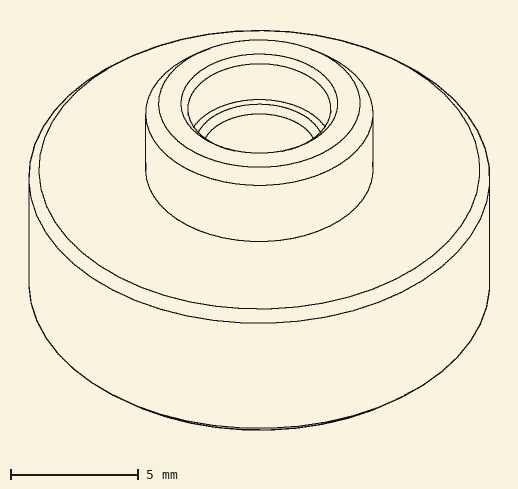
import cadquery as cq


disc_diameter = 18.03
disc_height = 6.2
disc_top_chamfer = 0.4
disc_bottom_chamfer = 0.5

boss_diameter = 8.89
total_height = 9.54
boss_height = total_height - disc_height
boss_chamfer = 0.5

upper_bore_diameter = 5.59
upper_bore_depth = 2.07
middle_bore_diameter = 4.47
through_hole_diameter = 3.85
bore_chamfer = 0.27
lip_thickness = upper_bore_depth


def make_disc():
    """Disc with chamfered top and bottom rims."""
    disc = cq.Workplane("XY").circle(disc_diameter / 2).extrude(disc_height)
    disc = disc.faces(">Z").edges().chamfer(disc_top_chamfer)
    return disc.faces("<Z").edges().chamfer(disc_bottom_chamfer)


def make_boss():
    """Boss with a chamfered top rim, standing on the disc."""
    disc_top = cq.Workplane("XY").workplane(offset=disc_height)
    boss = disc_top.circle(boss_diameter / 2).extrude(boss_height)
    return boss.faces(">Z").edges().chamfer(boss_chamfer)


def cut_bore_step(body, diameter, top, bottom, mouth_chamfer):
    """Cut one cylindrical step of the bore, widened at its mouth by a 45 degree chamfer."""
    radius = diameter / 2
    profile = [
        (0, bottom),
        (radius, bottom),
        (radius, top - mouth_chamfer),
        (radius + mouth_chamfer, top),
        (0, top),
    ]
    step = cq.Workplane("XZ").polyline(profile).close().revolve(360, (0, 0), (0, 1))
    return body.cut(step)


upper_bore_floor = total_height - upper_bore_depth

result = make_disc().union(make_boss())
result = cut_bore_step(result, upper_bore_diameter, total_height, upper_bore_floor, bore_chamfer)
result = cut_bore_step(result, middle_bore_diameter, upper_bore_floor, lip_thickness, bore_chamfer)
through_hole = cq.Workplane("XY").circle(through_hole_diameter / 2).extrude(lip_thickness)
result = result.cut(through_hole)